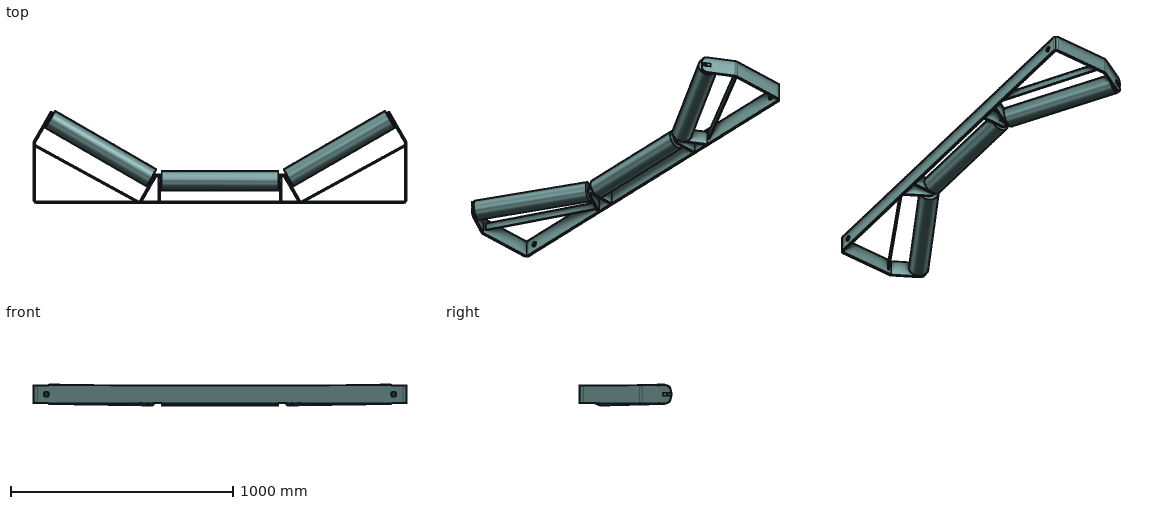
import cadquery as cq
import math


FRAME_LENGTH = 1680.0
STRIP_WIDTH = 80.0
PLATE = 8.0
BASE_BEND_RADIUS = 17.0
POST_HEIGHT = 275.0
POST_BEND_RADIUS = 20.0
POST_ARM_LENGTH = 158.0
TIP_CORNER_RADIUS = 25.0
MOUNT_HOLE_DIAMETER = 24.0
MOUNT_HOLE_X = 781.0

TROUGH_ANGLE = 30.0
ROLLER_DIAMETER = 89.0
ROLLER_LENGTH = 525.0
ROLLER_SPAN = 540.0
CENTRE_ROLLER_Y = 100.0
WING_AXIS_HEIGHT = 126.0
TANG_WIDTH = 15.0
TANG_DEPTH = 18.0
SLOT_REACH = 50.0

BRACKET_HEIGHT = 130.0
BRACKET_WIDTH = 67.0
STRUT_WIDTH = 35.0
STRUT_PLATE = 5.9
STRUT_FOOT_X = 368.0
STRUT_TOP_Y = 262.0

HALF_LENGTH = FRAME_LENGTH / 2
BRACKET_DROP = (STRIP_WIDTH - BRACKET_WIDTH) / 2
TILT = math.radians(TROUGH_ANGLE)
OUTWARD = cq.Vector(math.cos(TILT), math.sin(TILT))
UPWARD = cq.Vector(-math.sin(TILT), math.cos(TILT))
POST_BEND = cq.Vector(HALF_LENGTH, POST_HEIGHT)
WING_ROLLER = POST_BEND + UPWARD * WING_AXIS_HEIGHT - OUTWARD * (PLATE + ROLLER_SPAN / 2)
SHAFT_LENGTH = ROLLER_SPAN + 2 * PLATE
SLOT_LENGTH = SHAFT_LENGTH + 2 * PLATE


def strip(points, width):
    """Flat outline in XY, made into a strip of the given width centred on Z = 0."""
    outline = [(point.x, point.y) for point in points]
    return cq.Workplane("XY").polyline(outline).close().extrude(width / 2, both=True)


def round_edge(body, direction, near, radius):
    """Fillet the edge of the given direction that lies nearest to a point."""
    nearest = cq.selectors.NearestToPointSelector(near.toTuple())
    return body.edges(direction).edges(nearest).fillet(radius)


def roller_plane(centre, axis, up):
    """Section plane at the middle of a roller, with its local x towards the open slot ends."""
    return cq.Plane(origin=centre.toTuple(), xDir=up.toTuple(), normal=axis.toTuple())


CENTRE_PLANE = roller_plane(
    cq.Vector(0, CENTRE_ROLLER_Y, -BRACKET_DROP), cq.Vector(1, 0, 0), cq.Vector(0, 1, 0)
)
WING_PLANE = roller_plane(
    WING_ROLLER - cq.Vector(0, 0, BRACKET_DROP / 2),
    OUTWARD * ROLLER_LENGTH + cq.Vector(0, 0, BRACKET_DROP),
    UPWARD,
)


def half_bar():
    """Right half of the base bar with its post."""
    tip = POST_BEND + UPWARD * POST_ARM_LENGTH
    inner_bend = POST_BEND - cq.Vector(PLATE, PLATE * math.tan(TILT / 2))
    bar = strip(
        [
            cq.Vector(0, 0),
            cq.Vector(HALF_LENGTH, 0),
            POST_BEND,
            tip,
            tip - OUTWARD * PLATE,
            inner_bend,
            cq.Vector(HALF_LENGTH - PLATE, PLATE),
            cq.Vector(0, PLATE),
        ],
        STRIP_WIDTH,
    )
    bar = round_edge(bar, "|Z", cq.Vector(HALF_LENGTH, 0), BASE_BEND_RADIUS)
    bar = round_edge(bar, "|Z", POST_BEND, POST_BEND_RADIUS)
    for side in (-1, 1):
        corner = tip - OUTWARD * (PLATE / 2) + cq.Vector(0, 0, side * STRIP_WIDTH / 2)
        bar = round_edge(bar, cq.selectors.ParallelDirSelector(OUTWARD), corner, TIP_CORNER_RADIUS)
    hole = cq.Workplane("XZ").center(MOUNT_HOLE_X, 0).circle(MOUNT_HOLE_DIAMETER / 2).extrude(-PLATE)
    return bar.cut(hole)


def bracket():
    """Folded bracket: an upright leg for the centre roller and a sloping leg for the right wing."""
    upright_x = ROLLER_SPAN / 2
    fold_y = BRACKET_HEIGHT - PLATE
    leg_thickness_x = PLATE / math.cos(TILT)
    leg_face = POST_BEND - OUTWARD * (PLATE + ROLLER_SPAN)

    def leg_point(y):
        return leg_face + UPWARD * ((y - leg_face.y) / UPWARD.y)

    leg_step = cq.Vector(leg_thickness_x, 0)
    folded = strip(
        [
            cq.Vector(upright_x, PLATE),
            cq.Vector(upright_x, BRACKET_HEIGHT),
            leg_point(BRACKET_HEIGHT),
            leg_point(PLATE),
            leg_point(PLATE) - leg_step,
            leg_point(fold_y) - leg_step,
            cq.Vector(upright_x + PLATE, fold_y),
            cq.Vector(upright_x + PLATE, PLATE),
        ],
        BRACKET_WIDTH,
    )
    tongue = cq.Workplane("XY").box(HALF_LENGTH, BRACKET_HEIGHT, BRACKET_WIDTH, centered=(False, False, True))
    tongue = tongue.faces(">Y").edges("|X").fillet(TIP_CORNER_RADIUS)
    return folded.intersect(tongue).translate((0, 0, -BRACKET_DROP))


def strut():
    """Narrow diagonal brace from the base bar up to the right post."""
    foot = cq.Vector(STRUT_FOOT_X, PLATE)
    top = cq.Vector(HALF_LENGTH - PLATE, STRUT_TOP_Y)
    direction = (top - foot).normalized()
    foot_step = cq.Vector(STRUT_PLATE / direction.y, 0)
    top_step = cq.Vector(0, STRUT_PLATE / direction.x)
    return strip([foot, top, top - top_step, foot + foot_step], STRUT_WIDTH)


def shaft_slot(plane):
    """Cutter for the pair of open slots that a roller shaft drops into."""
    slot_size = SLOT_REACH + TANG_DEPTH / 2
    slot_middle = (SLOT_REACH - TANG_DEPTH / 2) / 2
    section = cq.Workplane(plane).center(slot_middle, 0).rect(slot_size, TANG_WIDTH)
    return section.extrude(SLOT_LENGTH / 2, both=True)


def make_frame():
    half = half_bar().union(bracket()).union(strut())
    half = half.cut(shaft_slot(WING_PLANE)).cut(shaft_slot(CENTRE_PLANE))
    return half.union(half.mirror("YZ"))


def make_roller(plane):
    """Roller with the flat shaft ends that fill the bottoms of its slots."""
    shell = cq.Workplane(plane).workplane(offset=-ROLLER_LENGTH / 2)
    shell = shell.circle(ROLLER_DIAMETER / 2).extrude(ROLLER_LENGTH)
    shaft = cq.Workplane(plane).workplane(offset=-SHAFT_LENGTH / 2)
    shaft = shaft.rect(TANG_DEPTH, TANG_WIDTH).extrude(SHAFT_LENGTH)
    return shell.union(shaft)


frame = make_frame()
centre_roller = make_roller(CENTRE_PLANE)
right_wing_roller = make_roller(WING_PLANE)
left_wing_roller = right_wing_roller.mirror("YZ")

result = cq.Compound.makeCompound(
    [frame.val(), centre_roller.val(), right_wing_roller.val(), left_wing_roller.val()]
)